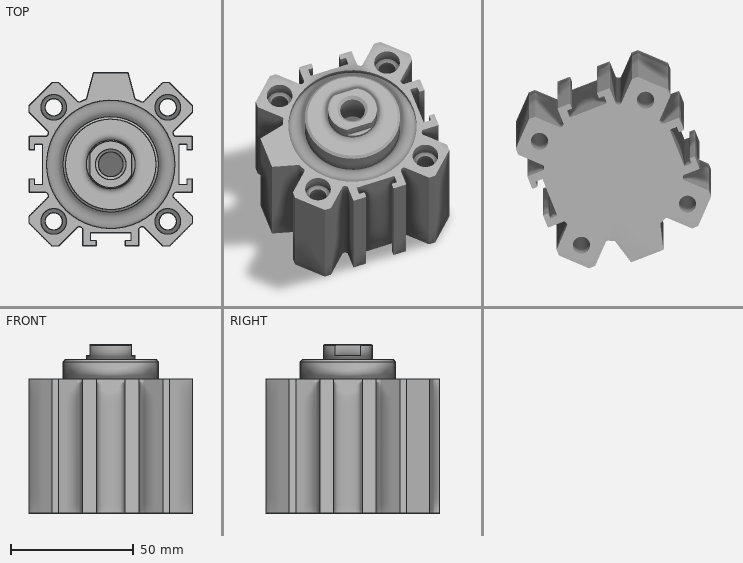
import cadquery as cq
import math

housing_height = 55.0
core_diameter = 57.0
root_fillet = 1.0
recess_diameter = 52.5
recess_depth = 2.1

lug_width = 17.25
lug_reach = 40.65
lug_corner_chamfer = 1.9
mount_hole_radius = 33.0
mount_hole_diameter = 7.0
counterbore_diameter = 10.5
counterbore_depth = 6.2

rail_width = 23.0
rail_reach = 33.4
slot_width = 16.4
slot_mouth_width = 11.8
slot_floor = 28.0
lip_thickness = 2.3
rail_corner_fillet = 0.3

boss_reach = 37.5
boss_end_width = 14.2
boss_taper = 15.0

collar_diameter = 39.0
collar_height = 8.0
collar_chamfer = 1.0

rod_diameter = 20.0
rod_projection = 6.0
rod_top = housing_height + collar_height + rod_projection
rod_chamfer_height = 0.3
rod_chamfer_inset = 0.5
rod_bottom = 10.0
flat_spacing = 17.0
flat_length = 4.5
thread_diameter = 10.11
thread_depth = 15.0
thread_mouth_diameter = 12.5
thread_mouth_depth = 1.2

diagonals = [45, 135, 225, 315]
rail_directions = [0, 180, 270]


def make_lug(angle):
    """Mounting lug running out along one diagonal, with bevelled outer corners."""
    lug = cq.Workplane("XY").box(lug_reach, lug_width, housing_height, centered=(False, True, False))
    lug = lug.edges("|Z and >X").chamfer(lug_corner_chamfer)
    return lug.rotate((0, 0, 0), (0, 0, 1), angle)


def make_rail_block(angle):
    """Solid block with rounded outer corners that the T-slot is later cut into."""
    block = cq.Workplane("XY").box(rail_reach, rail_width, housing_height, centered=(False, True, False))
    block = block.edges("|Z and >X").fillet(rail_corner_fillet)
    return block.rotate((0, 0, 0), (0, 0, 1), angle)


def make_t_slot(angle):
    """Cutter for the T-slot: a wide chamber behind a mouth that flares round the lip corners."""
    half_slot = slot_width / 2
    half_mouth = slot_mouth_width / 2
    half_flare = half_mouth + rail_corner_fillet
    lip_inside = rail_reach - lip_thickness
    outline = (
        cq.Workplane("XY")
        .moveTo(slot_floor, -half_slot)
        .lineTo(lip_inside, -half_slot)
        .lineTo(lip_inside, -half_flare)
        .radiusArc((lip_inside + rail_corner_fillet, -half_mouth), rail_corner_fillet)
        .lineTo(rail_reach - rail_corner_fillet, -half_mouth)
        .radiusArc((rail_reach, -half_flare), rail_corner_fillet)
        .lineTo(rail_reach, half_flare)
        .radiusArc((rail_reach - rail_corner_fillet, half_mouth), rail_corner_fillet)
        .lineTo(lip_inside + rail_corner_fillet, half_mouth)
        .radiusArc((lip_inside, half_flare), rail_corner_fillet)
        .lineTo(lip_inside, half_slot)
        .lineTo(slot_floor, half_slot)
        .close()
    )
    return outline.extrude(housing_height).rotate((0, 0, 0), (0, 0, 1), angle)


def make_boss():
    """Port boss that narrows towards its flat +Y face."""
    half_end = boss_end_width / 2
    half_base = half_end + boss_reach * math.tan(math.radians(boss_taper))
    outline = [(-half_base, 0), (half_base, 0), (half_end, boss_reach), (-half_end, boss_reach)]
    return cq.Workplane("XY").polyline(outline).close().extrude(housing_height)


def rod_cylinder():
    """Cylinder of the rod's diameter, from the rod's lower end to its top."""
    base = cq.Workplane("XY", origin=(0, 0, rod_bottom))
    return base.circle(rod_diameter / 2).extrude(rod_top - rod_bottom)


def is_root_edge(edge):
    """True for an upright edge where a rib meets the round core."""
    center = edge.Center()
    return math.isclose(math.hypot(center.x, center.y), core_diameter / 2, abs_tol=0.01)


def make_housing():
    """Barrel with its ribs, recessed top face and guide collar, bored for the rod."""
    body = cq.Workplane("XY").circle(core_diameter / 2).extrude(housing_height)
    for angle in rail_directions:
        body = body.union(make_rail_block(angle))
    for angle in diagonals:
        body = body.union(make_lug(angle))
    body = body.union(make_boss())
    body = body.edges("|Z").filter(is_root_edge).fillet(root_fillet)

    for angle in rail_directions:
        body = body.cut(make_t_slot(angle))

    recess_floor = housing_height - recess_depth
    floor_plane = cq.Workplane("XY", origin=(0, 0, recess_floor))
    recess = floor_plane.circle(recess_diameter / 2).extrude(recess_depth)
    collar = (
        floor_plane.circle(collar_diameter / 2)
        .extrude(recess_depth + collar_height)
        .faces(">Z")
        .chamfer(collar_chamfer)
    )
    body = body.cut(recess).union(collar)

    body = body.cut(rod_cylinder())

    return (
        body.copyWorkplane(cq.Workplane("XY", origin=(0, 0, housing_height)))
        .polarArray(mount_hole_radius, diagonals[0], 360, len(diagonals))
        .cboreHole(mount_hole_diameter, counterbore_diameter, counterbore_depth)
    )


def make_rod():
    """Rod with a bevelled end, two wrench flats and a blind threaded hole."""
    rod = rod_cylinder().faces(">Z").edges().chamfer(rod_chamfer_height, rod_chamfer_inset)

    for side in (-1, 1):
        cutter = cq.Workplane("XY").box(rod_diameter, rod_diameter, flat_length, centered=(True, True, False))
        cutter_x = side * (flat_spacing + rod_diameter) / 2
        rod = rod.cut(cutter.translate((cutter_x, 0, rod_top - flat_length)))

    rod = rod.copyWorkplane(cq.Workplane("XY", origin=(0, 0, rod_top))).hole(thread_diameter, thread_depth)
    mouth = cq.Solid.makeCone(
        thread_diameter / 2,
        thread_mouth_diameter / 2,
        thread_mouth_depth,
        cq.Vector(0, 0, rod_top - thread_mouth_depth),
    )
    return rod.cut(cq.Workplane(mouth))


housing = make_housing()
rod = make_rod()
result = cq.Compound.makeCompound([housing.val(), rod.val()])